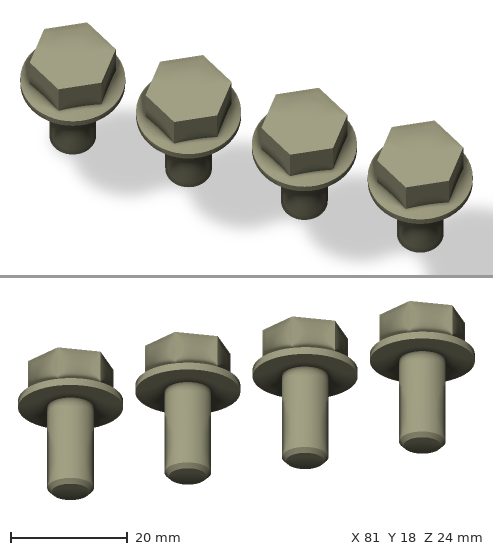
import cadquery as cq
import math

BOLT_COUNT = 4
BOLT_PITCH = 21.0

SHANK_DIAMETER = 8.0
SHANK_LENGTH = 16.0
TIP_CHAMFER = 0.75

HEAD_HEIGHT = 8.0
ACROSS_FLATS = 13.0
ACROSS_CORNERS = ACROSS_FLATS / math.cos(math.radians(30))
FLANGE_DIAMETER = 18.0
FLANGE_RIM_HEIGHT = 1.3
FLANGE_SLOPE = 16.5

CONE_OVERLAP = 0.5
CONE_TOP_RADIUS = ACROSS_FLATS / 2 - CONE_OVERLAP


def flange():
    """Flat-rimmed disc with a shallow cone rising towards the hexagon."""
    rim_radius = FLANGE_DIAMETER / 2
    cone_rise = (rim_radius - CONE_TOP_RADIUS) * math.tan(math.radians(FLANGE_SLOPE))
    cone_top = FLANGE_RIM_HEIGHT + cone_rise
    return (
        cq.Workplane("XZ")
        .moveTo(0, 0)
        .lineTo(rim_radius, 0)
        .lineTo(rim_radius, FLANGE_RIM_HEIGHT)
        .lineTo(CONE_TOP_RADIUS, cone_top)
        .lineTo(0, cone_top)
        .close()
        .revolve(360, (0, 0), (0, 1))
    )


def hexagon():
    """Hexagonal head with corners on the Y axis and flats facing X."""
    return (
        cq.Workplane("XY")
        .transformed(rotate=(0, 0, 90))
        .polygon(6, ACROSS_CORNERS)
        .extrude(HEAD_HEIGHT)
    )


def shank():
    """Plain cylinder with a chamfered tip."""
    return (
        cq.Workplane("XY")
        .circle(SHANK_DIAMETER / 2)
        .extrude(-SHANK_LENGTH)
        .faces("<Z")
        .chamfer(TIP_CHAMFER)
    )


def bolt(x):
    """One complete flange bolt with its axis at the given X."""
    return flange().union(hexagon()).union(shank()).translate((x, 0, 0))


first_x = -(BOLT_COUNT - 1) * BOLT_PITCH / 2
bolts = [bolt(first_x + i * BOLT_PITCH) for i in range(BOLT_COUNT)]

result = cq.Compound.makeCompound([body.solids().val() for body in bolts])